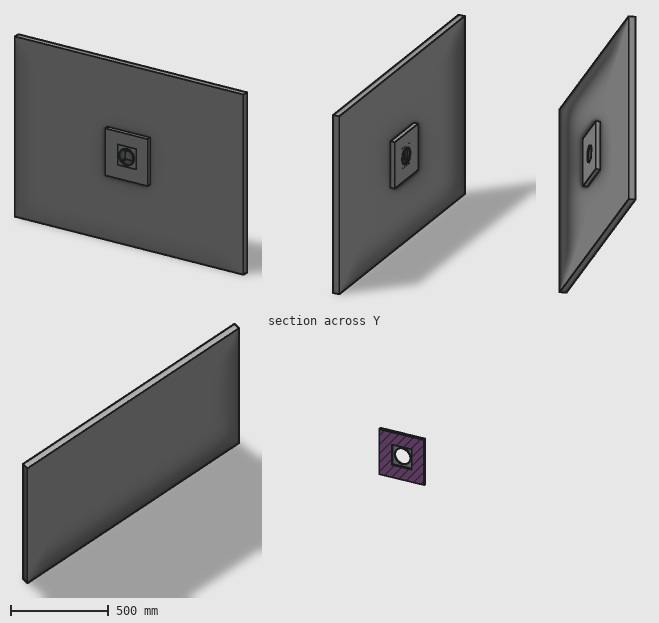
import cadquery as cq
import math

panel_width = 1400.0
panel_height = 1000.0
total_depth = 62.0
box_depth = 25.0
sheet_thickness = 1.0
panel_depth = total_depth - box_depth - sheet_thickness

box_side = 260.0
front_wall = 5.0
opening_diameter = 90.0
cavity_side = 113.0
cavity_depth = box_depth - front_wall

hub_side = 48.0
rib_width = 7.0
rib_height = 1.0
rib_length = cavity_side * math.sqrt(2)
rib_angles = (45, 135)

panel_front = -panel_depth
sheet_front = panel_front - sheet_thickness


def rectangular_block(width, height, depth, rear_y):
    """Centred block whose rear face is at rear_y and which extends toward -Y."""
    return cq.Workplane("XZ", origin=(0, rear_y, 0)).rect(width, height).extrude(depth)


def make_panel():
    return rectangular_block(panel_width, panel_height, panel_depth, 0)


def make_sheet():
    sheet = rectangular_block(panel_width, panel_height, sheet_thickness, panel_front)
    relief = rectangular_block(hub_side, hub_side, rib_height, sheet_front)
    for angle in rib_angles:
        rib = rectangular_block(rib_length, rib_width, rib_height, sheet_front)
        relief = relief.union(rib.rotate((0, 0, 0), (0, 1, 0), angle))
    cavity_limit = rectangular_block(cavity_side, cavity_side, rib_height, sheet_front)
    return sheet.union(relief.intersect(cavity_limit))


def make_box():
    box = rectangular_block(box_side, box_side, box_depth, sheet_front)
    cavity = rectangular_block(cavity_side, cavity_side, cavity_depth, sheet_front)
    opening = cq.Workplane("XZ", origin=(0, sheet_front, 0)).circle(opening_diameter / 2).extrude(box_depth)
    return box.cut(cavity).cut(opening)


panel = make_panel()
sheet = make_sheet()
box = make_box()

result = cq.Compound.makeCompound([panel.val(), sheet.val(), box.val()])